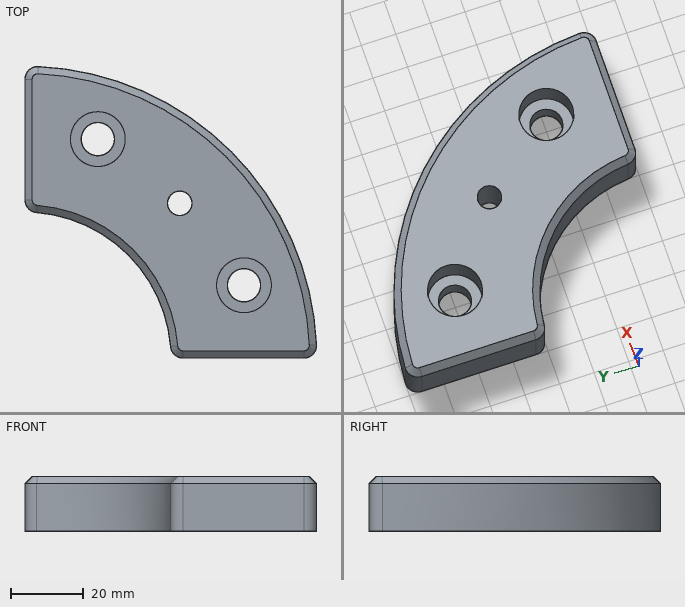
import cadquery as cq
import math

outer_radius = 80.0
inner_radius = outer_radius / 2
thickness = 15.0
corner_radius = 3.5
top_chamfer = 2.0

bolt_near = 20.0
bolt_far = 60.0
bolt_diameter = 9.0
counterbore_diameter = 15.0
counterbore_depth = 9.0

pin_diameter = 6.6
pin_offset = (outer_radius + inner_radius) / 2 * math.cos(math.radians(45))


def quarter_ring():
    """Plate with rounded upright corners and a chamfered top outline."""
    diagonal = math.cos(math.radians(45))
    outer_middle = outer_radius * diagonal
    inner_middle = inner_radius * diagonal
    plate = (
        cq.Workplane("XY")
        .moveTo(inner_radius, 0)
        .lineTo(outer_radius, 0)
        .threePointArc((outer_middle, outer_middle), (0, outer_radius))
        .lineTo(0, inner_radius)
        .threePointArc((inner_middle, inner_middle), (inner_radius, 0))
        .close()
        .extrude(thickness)
    )
    return plate.edges("|Z").fillet(corner_radius).faces(">Z").chamfer(top_chamfer)


def top_plane(plate):
    """Workplane on the top face, centred on the ring axis."""
    return plate.faces(">Z").workplane(origin=(0, 0, thickness))


result = quarter_ring()
result = (
    top_plane(result)
    .pushPoints([(bolt_near, bolt_far), (bolt_far, bolt_near)])
    .cboreHole(bolt_diameter, counterbore_diameter, counterbore_depth)
)
result = top_plane(result).center(pin_offset, pin_offset).hole(pin_diameter)